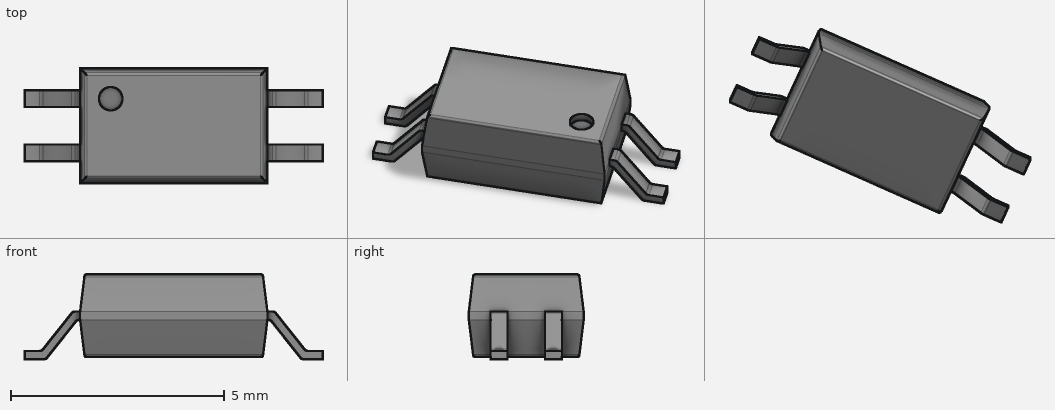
import cadquery as cq
import math

body_length = 4.4
body_width = 2.7
body_top = 2.0
standoff = 0.05
draft_angle = 7.0
edge_radius = 0.07

mark_diameter = 0.55
mark_depth = 0.2
mark_x = -1.48

overall_length = 7.0
lead_pitch = 1.27
lead_width = 0.4
lead_thickness = 0.2
bend_radius = 0.1
foot_corner_x = 3.10
shoulder_corner_x = 2.365
end_margin = 0.01

body_mid = (body_top + standoff) / 2
band_bottom = body_mid - lead_thickness / 2
band_top = body_mid + lead_thickness / 2
mark_y = lead_pitch / 2


def make_body():
    """Straight band with a drafted half above and below, rounded end edges and a pin 1 dimple."""
    upper = (
        cq.Workplane("XY", origin=(0, 0, band_top))
        .rect(body_length, body_width)
        .extrude(body_top - band_top, taper=draft_angle)
        .faces(">Z")
        .edges()
        .fillet(edge_radius)
    )
    lower = upper.mirror("XY", (0, 0, body_mid))
    band = (
        cq.Workplane("XY", origin=(0, 0, band_bottom))
        .rect(body_length, body_width)
        .extrude(lead_thickness)
    )
    mark = (
        cq.Workplane("XY", origin=(mark_x, mark_y, body_top - mark_depth))
        .circle(mark_diameter / 2)
        .extrude(mark_depth)
    )
    return band.union(upper).union(lower).cut(mark)


def make_lead(side, y):
    """Gull-wing lead of even thickness; side is +1 or -1 along X, y is its centre line."""
    slope_angle = math.atan2(band_top - lead_thickness, foot_corner_x - shoulder_corner_x)
    corner_shift = lead_thickness * math.tan(slope_angle / 2)
    face_x = body_length / 2
    toe_x = overall_length / 2
    profile = [
        (face_x, band_top),
        (shoulder_corner_x, band_top),
        (foot_corner_x, lead_thickness),
        (toe_x, lead_thickness),
        (toe_x, 0),
        (foot_corner_x - corner_shift, 0),
        (shoulder_corner_x - corner_shift, band_bottom),
        (face_x, band_bottom),
    ]
    bends = cq.selectors.BoxSelector(
        (face_x + end_margin, -lead_width, -lead_thickness),
        (toe_x - end_margin, lead_width, body_top),
    )
    lead = (
        cq.Workplane("XZ")
        .polyline(profile)
        .close()
        .extrude(lead_width / 2, both=True)
        .edges("|Y")
        .edges(bends)
        .fillet(bend_radius)
    )
    if side < 0:
        lead = lead.mirror("YZ")
    return lead.translate((0, y, 0))


body = make_body()
leads = [
    make_lead(side, row * lead_pitch / 2)
    for side in (-1, 1)
    for row in (-1, 1)
]

result = cq.Compound.makeCompound([body.val(), *[lead.val() for lead in leads]])